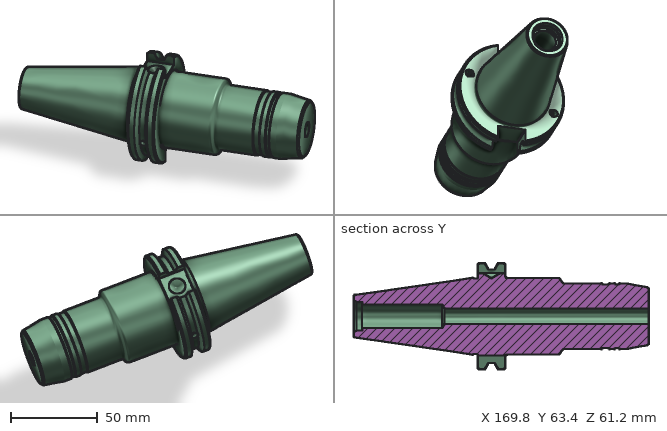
import cadquery as cq
import math

length = 169.8

gauge_dia = 44.5
gauge_x = 68.3
taper_ratio = 7 / 24
small_end_chamfer = 0.7

neck_dia = 43.7
neck_start = 69.6
neck_fillet = 0.7

flange_dia = 63.4
flange_start = 71.3
flange_end = 87.3
flange_chamfer = 0.8
groove_x = 79.3
groove_floor_dia = 56.4
groove_floor_width = 3.5
groove_wall_angle = 30.0

body_dia = 44.5
body_back_fillet = 0.8

shoulder_end = 121.3
shoulder_angle = 60.0
shoulder_radius = 1.7

nose_dia = 38.0
band_groove_dia = 37.0
band_grooves = [(142.7, 147.1), (150.1, 152.9)]
nose_taper_start = 157.1
nose_end_dia = 33.8
nose_end_chamfer = 1.0

mouth_dia = 18.0
thread_dia = 16.3
mouth_depth = 1.7
thread_depth = 5.0
bore_dia = 13.0
bore_depth = 51.0
through_dia = 8.8
drill_point_angle = 118.0

slot_width = 16.5
top_slot_floor = 24.8
bottom_slot_floor = 22.6
dimple_dia = 9.5

duct_angles = [20.0, 200.0]
duct_dia = 3.2
duct_mouth_radius = 26.8
duct_mouth_dia = 4.2
duct_mouth_depth = 2.4
duct_tilt = 30.0
outlet_dia = 4.0
outlet_floor_radius = 24.5


def drill_point_depth(diameter):
    """Axial length of the cone that a drill leaves for a drop to zero diameter."""
    return diameter / 2 / math.tan(math.radians(drill_point_angle / 2))


def turned_body():
    gauge_r = gauge_dia / 2
    neck_r = neck_dia / 2
    flange_r = flange_dia / 2
    floor_r = groove_floor_dia / 2
    body_r = body_dia / 2
    nose_r = nose_dia / 2
    band_r = band_groove_dia / 2
    nose_end_r = nose_end_dia / 2

    small_end_r = gauge_r - (gauge_x - small_end_chamfer) * taper_ratio / 2
    groove_half = groove_floor_width / 2
    groove_flare = (flange_r - floor_r) * math.tan(math.radians(groove_wall_angle))

    slope = math.radians(shoulder_angle)
    arc_run = shoulder_radius * math.sin(slope)
    arc_drop = shoulder_radius * (1 - math.cos(slope))
    cone_run = (body_r - nose_r - 2 * arc_drop) / math.tan(slope)

    outline = (
        cq.Workplane("XY")
        .lineTo(0, small_end_r - small_end_chamfer)
        .lineTo(small_end_chamfer, small_end_r)
        .lineTo(gauge_x, gauge_r)
        .lineTo(neck_start, neck_r)
        .lineTo(flange_start - neck_fillet, neck_r)
        .radiusArc((flange_start, neck_r + neck_fillet), -neck_fillet)
        .lineTo(flange_start, flange_r - flange_chamfer)
        .lineTo(flange_start + flange_chamfer, flange_r)
        .lineTo(groove_x - groove_half - groove_flare, flange_r)
        .lineTo(groove_x - groove_half, floor_r)
        .lineTo(groove_x + groove_half, floor_r)
        .lineTo(groove_x + groove_half + groove_flare, flange_r)
        .lineTo(flange_end - flange_chamfer, flange_r)
        .lineTo(flange_end, flange_r - flange_chamfer)
        .lineTo(flange_end, body_r + body_back_fillet)
        .radiusArc((flange_end + body_back_fillet, body_r), -body_back_fillet)
        .lineTo(shoulder_end - 2 * arc_run - cone_run, body_r)
        .radiusArc((shoulder_end - arc_run - cone_run, body_r - arc_drop), shoulder_radius)
        .lineTo(shoulder_end - arc_run, nose_r + arc_drop)
        .radiusArc((shoulder_end, nose_r), -shoulder_radius)
    )
    wall = nose_r - band_r
    for start, end in band_grooves:
        outline = (
            outline.lineTo(start, nose_r)
            .lineTo(start + wall, band_r)
            .lineTo(end - wall, band_r)
            .lineTo(end, nose_r)
        )
    outline = (
        outline.lineTo(nose_taper_start, nose_r)
        .lineTo(length - nose_end_chamfer, nose_end_r)
        .lineTo(length, nose_end_r - nose_end_chamfer)
        .lineTo(length, 0)
        .close()
    )
    return outline.revolve(360, (0, 0, 0), (1, 0, 0))


def stepped_bore():
    point_depth = drill_point_depth(bore_dia) - drill_point_depth(through_dia)
    return (
        cq.Workplane("XY")
        .lineTo(0, mouth_dia / 2)
        .lineTo(mouth_depth, thread_dia / 2)
        .lineTo(thread_depth, thread_dia / 2)
        .lineTo(thread_depth, bore_dia / 2)
        .lineTo(bore_depth, bore_dia / 2)
        .lineTo(bore_depth + point_depth, through_dia / 2)
        .lineTo(length, through_dia / 2)
        .lineTo(length, 0)
        .close()
        .revolve(360, (0, 0, 0), (1, 0, 0))
    )


def key_slot(floor, side):
    """Slot across the flange, open to +Z (side = 1) or -Z (side = -1)."""
    width_x = flange_end - flange_start
    height = flange_dia / 2 - floor
    center = (flange_start + width_x / 2, 0, side * (floor + height / 2))
    return cq.Workplane("XY").box(width_x, slot_width, height).translate(center)


def slot_dimple():
    depth = drill_point_depth(dimple_dia)
    apex_down = cq.Solid.makeCone(
        dimple_dia / 2, 0, depth, cq.Vector(groove_x, 0, top_slot_floor), cq.Vector(0, 0, -1)
    )
    return cq.Workplane(obj=apex_down)


def round_hole(diameter, start, end):
    """Cylinder between the centers of its two end faces."""
    axis = end - start
    return cq.Workplane(obj=cq.Solid.makeCylinder(diameter / 2, axis.Length, start, axis))


def coolant_duct(angle):
    tilt = math.radians(duct_tilt)
    inward = cq.Vector(math.cos(tilt), -math.sin(tilt), 0)
    mouth = cq.Vector(flange_start, duct_mouth_radius, 0)
    outside = mouth - inward * duct_mouth_dia
    mouth_floor = mouth + inward * duct_mouth_depth
    meeting = mouth + inward * ((groove_x - flange_start) / math.cos(tilt))
    outlet_floor = cq.Vector(groove_x, outlet_floor_radius, 0)
    outlet = cq.Vector(groove_x, flange_dia / 2, 0)

    duct = (
        round_hole(duct_mouth_dia, outside, mouth_floor)
        .union(round_hole(duct_dia, mouth, meeting))
        .union(round_hole(duct_dia, meeting, outlet))
        .union(round_hole(outlet_dia, outlet_floor, outlet))
    )
    return duct.rotate((0, 0, 0), (1, 0, 0), angle)


result = turned_body().cut(stepped_bore())
result = result.cut(key_slot(top_slot_floor, 1)).cut(key_slot(bottom_slot_floor, -1))
result = result.cut(slot_dimple())
for duct_angle in duct_angles:
    result = result.cut(coolant_duct(duct_angle))